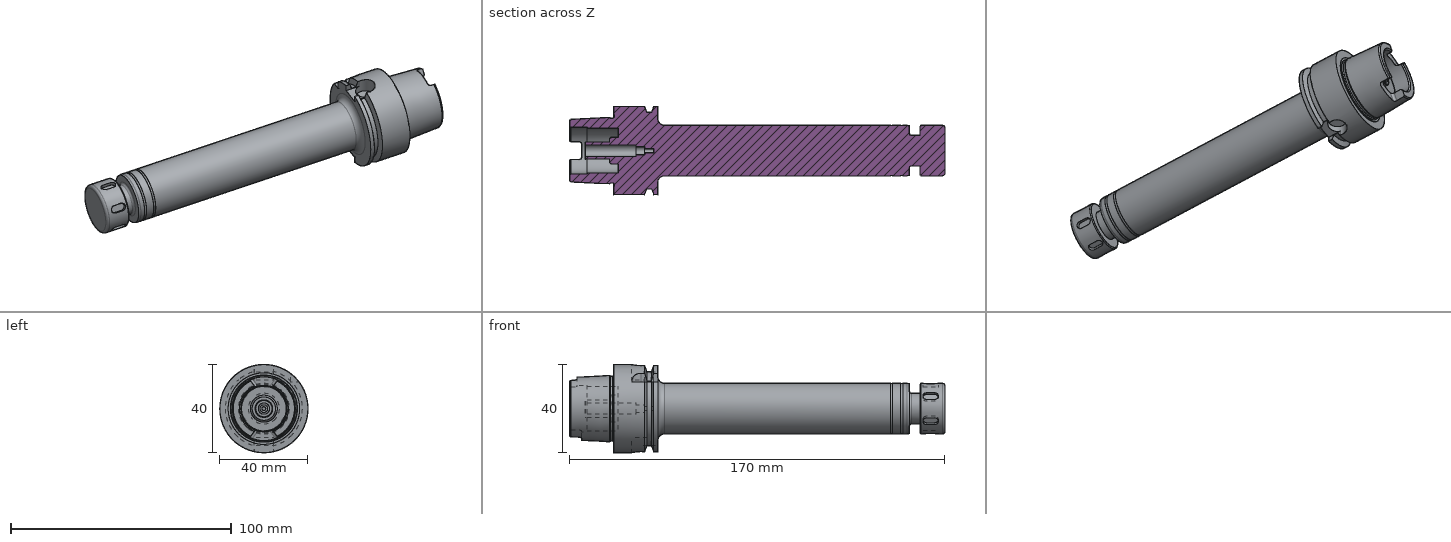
import cadquery as cq
import math


TAPER_LENGTH = 20.0
GAUGE_RADIUS = 15.0
GAUGE_SETBACK = 4.0
TAPER_SLOPE = 1 / 20
TAPER_END_CHAMFER = 0.7

RELIEF_RADIUS = 14.7
RELIEF_START = -1.9
RELIEF_SIDE = 0.5
FACE_RECESS_RADIUS = 16.2
FACE_RECESS_DEPTH = 0.2

FLANGE_RADIUS = 20.0
FLANGE_LENGTH = 20.0
GROOVE_FLOOR_RADIUS = 17.4
GROOVE_START = 14.0
GROOVE_END = 18.1
GROOVE_SIDE = 1.0

SHANK_RADIUS = 11.5
SHANK_FILLET = 3.0
SHANK_END = 133.8
SHANK_TIP_LENGTH = 1.0
SHANK_TIP_DROP = 0.2
RING_GROOVE_CENTRES = (125.7, 130.35)
RING_GROOVE_WIDTH = 1.0
RING_GROOVE_DEPTH = 0.1

NECK_RADIUS = 7.0
NECK_FILLET = 1.0
NUT_START = 138.6
NUT_END = 150.0
NUT_RADIUS = 11.5
NUT_BACK_CHAMFER = 0.5
NUT_FRONT_FILLET = 1.3
NUT_SLOT_COUNT = 6
NUT_SLOT_CENTRE = 143.4
NUT_SLOT_LENGTH = 7.0
NUT_SLOT_WIDTH = 3.5
NUT_SLOT_DEPTH = 1.7

BORE_RADIUS = 10.5
BORE_CHAMFER = 0.6
BORE_STEP = -12.0
INNER_BORE_RADIUS = 10.1
BORE_FLOOR = 2.0

TUBE_TIP = -13.0
TUBE_RADIUS = 4.0
TUBE_TIP_CHAMFER = 0.3
TUBE_COLLAR_TIP = -2.0
TUBE_COLLAR_RADIUS = 6.1
TUBE_COLLAR_CHAMFER = 0.8
COOLANT_STEPS = ((2.55, 10.0), (1.75, 14.0), (0.85, 18.0))

DRIVE_SLOT_DEPTH_UPPER = 3.3
DRIVE_SLOT_DEPTH_LOWER = 5.5
DRIVE_SLOT_HALF_WIDTH = 3.85
DRIVE_SLOT_WIDTH_HEIGHT = 9.6
DRIVE_SLOT_WALL_ANGLE = 36.0
DRIVE_SLOT_FILLET = 1.2
DRIVE_SLOT_BOTTOM = 7.0
DRIVE_SLOT_TOP = 20.0

CUTOUT_CENTRE = 12.4
POCKET_DIAMETER = 8.79
POCKET_FLOOR = 13.0
KEYWAY_WIDTH = 8.5
KEYWAY_FLOOR = 16.6
NOTCH_OFFSET = 12.0
NOTCH_RADIUS = 4.25

CLEARANCE = 5.0


def taper_radius(x):
    return GAUGE_RADIUS + (x + GAUGE_SETBACK) * TAPER_SLOPE


def tube(radius, start, end):
    """Cylinder along X between two stations."""
    return cq.Workplane("YZ", origin=(start, 0, 0)).circle(radius).extrude(end - start)


def block(x_span, y_span, z_span):
    """Box given by its spans along the three axes."""
    size = [span[1] - span[0] for span in (x_span, y_span, z_span)]
    corner = (x_span[0], y_span[0], z_span[0])
    return cq.Workplane("XY", origin=corner).box(*size, centered=False)


def turned_body():
    """Outer turned shape from taper end to nut face."""
    taper_end = -TAPER_LENGTH
    chamfer_end = taper_end + TAPER_END_CHAMFER
    fillet_mid = 1 - math.sqrt(0.5)
    tip_radius = SHANK_RADIUS - SHANK_TIP_DROP
    profile = (
        cq.Workplane("XY")
        .moveTo(taper_end, 0)
        .lineTo(taper_end, taper_radius(taper_end) - TAPER_END_CHAMFER / 2)
        .lineTo(chamfer_end, taper_radius(chamfer_end))
        .lineTo(RELIEF_START, taper_radius(RELIEF_START))
        .lineTo(RELIEF_START + RELIEF_SIDE, RELIEF_RADIUS)
        .lineTo(-RELIEF_SIDE, RELIEF_RADIUS)
        .lineTo(0, taper_radius(0))
        .lineTo(FACE_RECESS_DEPTH, taper_radius(0))
        .lineTo(FACE_RECESS_DEPTH, FACE_RECESS_RADIUS)
        .lineTo(0, FACE_RECESS_RADIUS)
        .lineTo(0, FLANGE_RADIUS)
        .lineTo(GROOVE_START, FLANGE_RADIUS)
        .lineTo(GROOVE_START + GROOVE_SIDE, GROOVE_FLOOR_RADIUS)
        .lineTo(GROOVE_END - GROOVE_SIDE, GROOVE_FLOOR_RADIUS)
        .lineTo(GROOVE_END, FLANGE_RADIUS)
        .lineTo(FLANGE_LENGTH, FLANGE_RADIUS)
        .lineTo(FLANGE_LENGTH, SHANK_RADIUS + SHANK_FILLET)
        .threePointArc(
            (FLANGE_LENGTH + SHANK_FILLET * fillet_mid, SHANK_RADIUS + SHANK_FILLET * fillet_mid),
            (FLANGE_LENGTH + SHANK_FILLET, SHANK_RADIUS),
        )
        .lineTo(SHANK_END - SHANK_TIP_LENGTH, SHANK_RADIUS)
        .lineTo(SHANK_END, tip_radius)
        .lineTo(SHANK_END, NECK_RADIUS + NECK_FILLET)
        .threePointArc(
            (SHANK_END + NECK_FILLET * fillet_mid, NECK_RADIUS + NECK_FILLET * fillet_mid),
            (SHANK_END + NECK_FILLET, NECK_RADIUS),
        )
        .lineTo(NUT_START, NECK_RADIUS)
        .lineTo(NUT_START, NUT_RADIUS - NUT_BACK_CHAMFER)
        .lineTo(NUT_START + NUT_BACK_CHAMFER, NUT_RADIUS)
        .lineTo(NUT_END - NUT_FRONT_FILLET, NUT_RADIUS)
        .threePointArc(
            (NUT_END - NUT_FRONT_FILLET * fillet_mid, NUT_RADIUS - NUT_FRONT_FILLET * fillet_mid),
            (NUT_END, NUT_RADIUS - NUT_FRONT_FILLET),
        )
        .lineTo(NUT_END, 0)
        .close()
    )
    return profile.revolve(360, (0, 0, 0), (1, 0, 0))


def ring_groove(centre):
    """Shallow groove round the shank."""
    start = centre - RING_GROOVE_WIDTH / 2
    end = centre + RING_GROOVE_WIDTH / 2
    outside = tube(SHANK_RADIUS + CLEARANCE, start, end)
    return outside.cut(tube(SHANK_RADIUS - RING_GROOVE_DEPTH, start, end))


def taper_bore():
    """Bore of the taper with a chamfered mouth and a slightly narrower inner part."""
    outline = [
        (-TAPER_LENGTH, 0),
        (-TAPER_LENGTH, BORE_RADIUS + BORE_CHAMFER),
        (-TAPER_LENGTH + BORE_CHAMFER, BORE_RADIUS),
        (BORE_STEP, BORE_RADIUS),
        (BORE_STEP, INNER_BORE_RADIUS),
        (BORE_FLOOR, INNER_BORE_RADIUS),
        (BORE_FLOOR, 0),
    ]
    return cq.Workplane("XY").polyline(outline).close().revolve(360, (0, 0, 0), (1, 0, 0))


def coolant_tube():
    """Tube and its collar, seated on the bore floor."""
    collar = tube(TUBE_COLLAR_RADIUS, TUBE_COLLAR_TIP, BORE_FLOOR)
    collar = collar.faces("<X").chamfer(TUBE_COLLAR_CHAMFER)
    pipe = tube(TUBE_RADIUS, TUBE_TIP, BORE_FLOOR).faces("<X").chamfer(TUBE_TIP_CHAMFER)
    return collar.union(pipe)


def drive_slot(depth, side):
    """Slot across the taper wall, flared outward; side is +1 for +Z and -1 for -Z."""
    flare = math.tan(math.radians(DRIVE_SLOT_WALL_ANGLE))
    bottom_half = DRIVE_SLOT_HALF_WIDTH + (DRIVE_SLOT_BOTTOM - DRIVE_SLOT_WIDTH_HEIGHT) * flare
    top_half = DRIVE_SLOT_HALF_WIDTH + (DRIVE_SLOT_TOP - DRIVE_SLOT_WIDTH_HEIGHT) * flare
    outline = [
        (-bottom_half, side * DRIVE_SLOT_BOTTOM),
        (bottom_half, side * DRIVE_SLOT_BOTTOM),
        (top_half, side * DRIVE_SLOT_TOP),
        (-top_half, side * DRIVE_SLOT_TOP),
    ]
    slot = cq.Workplane("YZ", origin=(-TAPER_LENGTH, 0, 0)).polyline(outline).close().extrude(depth)
    return slot.faces(">X").edges().fillet(DRIVE_SLOT_FILLET)


def flange_pocket():
    """Round pocket with a keyway running out of the flange, on the +Z side."""
    top = FLANGE_RADIUS + CLEARANCE
    pocket = (
        cq.Workplane("XY", origin=(CUTOUT_CENTRE, 0, POCKET_FLOOR))
        .circle(POCKET_DIAMETER / 2)
        .extrude(top - POCKET_FLOOR)
    )
    keyway = block(
        (CUTOUT_CENTRE, FLANGE_LENGTH),
        (-KEYWAY_WIDTH / 2, KEYWAY_WIDTH / 2),
        (KEYWAY_FLOOR, top),
    )
    return pocket.union(keyway)


def orientation_notch():
    """Square corner notch on the -Y +Z side, its inner end rounded into the wall."""
    outer = FLANGE_RADIUS
    arc_y = -NOTCH_OFFSET - NOTCH_RADIUS
    rounded_end = (
        cq.Workplane("XY", origin=(CUTOUT_CENTRE, arc_y, NOTCH_OFFSET))
        .circle(NOTCH_RADIUS)
        .extrude(outer - NOTCH_OFFSET)
    )
    runout = block((CUTOUT_CENTRE, FLANGE_LENGTH), (-outer, -NOTCH_OFFSET), (NOTCH_OFFSET, outer))
    return runout.union(rounded_end)


def nut_slot(angle):
    """Radial spanner slot in the nut, turned about X by the angle in degrees."""
    slot = (
        cq.Workplane("XY", origin=(NUT_SLOT_CENTRE, 0, NUT_RADIUS - NUT_SLOT_DEPTH))
        .slot2D(NUT_SLOT_LENGTH, NUT_SLOT_WIDTH)
        .extrude(NUT_SLOT_DEPTH + CLEARANCE)
    )
    return slot.rotate((0, 0, 0), (1, 0, 0), angle)


result = turned_body().cut(taper_bore()).union(coolant_tube())

step_start = TUBE_TIP
for step_radius, step_end in COOLANT_STEPS:
    result = result.cut(tube(step_radius, step_start, step_end))
    step_start = step_end

for groove_centre in RING_GROOVE_CENTRES:
    result = result.cut(ring_groove(groove_centre))

result = result.cut(drive_slot(DRIVE_SLOT_DEPTH_UPPER, 1))
result = result.cut(drive_slot(DRIVE_SLOT_DEPTH_LOWER, -1))

upper_pocket = flange_pocket()
result = result.cut(upper_pocket).cut(upper_pocket.mirror("XY"))
result = result.cut(orientation_notch())

for slot_index in range(NUT_SLOT_COUNT):
    result = result.cut(nut_slot(slot_index * 360 / NUT_SLOT_COUNT))